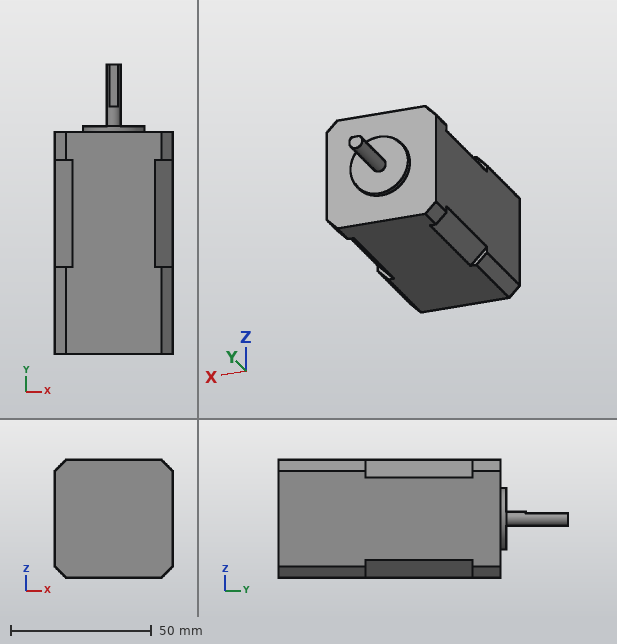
import cadquery as cq

total_length = 103.0
body_width = 42.0
shaft_extension = 24.0
body_length = total_length - shaft_extension

end_chamfer = 4.1
stator_chamfer = 6.3
front_cap_length = 10.0
stator_length = 38.0
rear_cap_length = body_length - front_cap_length - stator_length

pilot_diameter = 22.0
pilot_height = 2.0

shaft_diameter = 5.0
flat_length = 15.0
flat_depth = 0.5


def body_section(start_y, length, chamfer):
    """Square block along Y with its four long edges chamfered."""
    block = cq.Workplane("XY").box(body_width, length, body_width)
    return block.edges("|Y").chamfer(chamfer).translate((0, start_y + length / 2, 0))


def cylinder_along_y(start_y, length, diameter):
    """Round section on the motor axis, extending toward +Y."""
    plane = cq.Plane(origin=(0, start_y, 0), xDir=(1, 0, 0), normal=(0, 1, 0))
    return cq.Workplane(plane).circle(diameter / 2).extrude(length)


def make_body():
    stator_start = rear_cap_length
    front_cap_start = stator_start + stator_length
    rear_cap = body_section(0, rear_cap_length, end_chamfer)
    stator = body_section(stator_start, stator_length, stator_chamfer)
    front_cap = body_section(front_cap_start, front_cap_length, end_chamfer)
    return rear_cap.union(stator).union(front_cap)


def make_shaft():
    """Output shaft with a flat on its +Z side at the tip."""
    shaft = cylinder_along_y(body_length, shaft_extension, shaft_diameter)
    flat_z = shaft_diameter / 2 - flat_depth
    flat_cutter = (
        cq.Workplane("XY")
        .box(shaft_diameter, flat_length, shaft_diameter, centered=(True, False, False))
        .translate((0, total_length - flat_length, flat_z))
    )
    return shaft.cut(flat_cutter)


pilot = cylinder_along_y(body_length, pilot_height, pilot_diameter)
result = make_body().union(pilot).union(make_shaft()).clean()